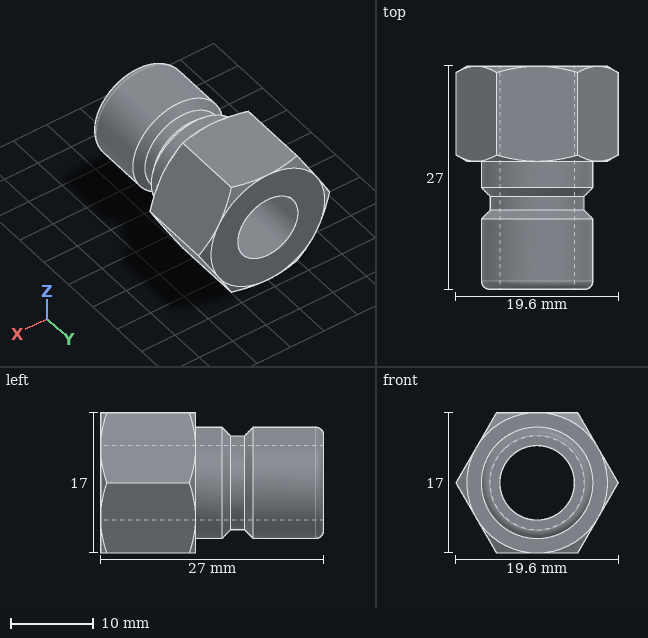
import cadquery as cq
import math

total_length = 27.0
across_flats = 17.0
hex_length = 11.5
hex_chamfer_angle = 30.0
shank_diameter = 13.5
neck_diameter = 11.4
bore_diameter = 9.0
nose_radius = 1.0
nose_length = 8.53
neck_length = 1.67

across_corners = across_flats / math.cos(math.radians(30))
flat_radius = across_flats / 2
corner_radius = across_corners / 2
hex_chamfer_depth = (corner_radius - flat_radius) * math.tan(math.radians(hex_chamfer_angle))
hex_start = total_length - hex_length
shank_radius = shank_diameter / 2
neck_radius = neck_diameter / 2
groove_slope = shank_radius - neck_radius
neck_start = nose_length + groove_slope
neck_end = neck_start + neck_length
groove_end = neck_end + groove_slope


def revolve_about_y(profile):
    return profile.close().revolve(360, (0, 0, 0), (0, 1, 0))


def make_hex():
    """Hexagon with corners on X, both ends turned to a cone."""
    prism = (
        cq.Workplane("XZ", origin=(0, hex_start, 0))
        .polygon(6, across_corners)
        .extrude(-hex_length)
    )
    turned_envelope = revolve_about_y(
        cq.Workplane("XY")
        .moveTo(0, hex_start)
        .lineTo(flat_radius, hex_start)
        .lineTo(corner_radius, hex_start + hex_chamfer_depth)
        .lineTo(corner_radius, total_length - hex_chamfer_depth)
        .lineTo(flat_radius, total_length)
        .lineTo(0, total_length)
    )
    return prism.intersect(turned_envelope)


def make_shank():
    """Round shank with a rounded nose and a V-sided groove."""
    return revolve_about_y(
        cq.Workplane("XY")
        .lineTo(shank_radius - nose_radius, 0)
        .radiusArc((shank_radius, nose_radius), -nose_radius)
        .lineTo(shank_radius, nose_length)
        .lineTo(neck_radius, neck_start)
        .lineTo(neck_radius, neck_end)
        .lineTo(shank_radius, groove_end)
        .lineTo(shank_radius, hex_start)
        .lineTo(0, hex_start)
    )


def make_bore():
    return cq.Workplane("XZ").circle(bore_diameter / 2).extrude(-total_length)


result = make_hex().union(make_shank()).cut(make_bore())